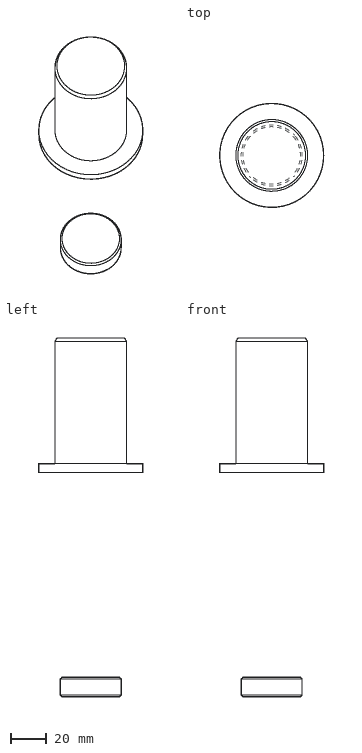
import cadquery as cq
import math

total_height = 200.0

pin_diameter = 40.0
pin_length = 75.0
pin_chamfer_height = 2.0
pin_chamfer_angle = 30.0
pin_chamfer_inset = pin_chamfer_height * math.tan(math.radians(pin_chamfer_angle))
flange_diameter = 58.0
flange_thickness = 5.0

disc_diameter = 34.0
disc_thickness = 11.0
disc_chamfer = 1.0


def make_flanged_pin():
    """Pin standing on a round flange, with a chamfered free end."""
    flange = cq.Workplane("XY").circle(flange_diameter / 2).extrude(flange_thickness)
    shank = (
        cq.Workplane("XY")
        .circle(pin_diameter / 2)
        .extrude(pin_length)
        .faces(">Z")
        .chamfer(pin_chamfer_height, pin_chamfer_inset)
    )
    pin_base_z = total_height - pin_length
    return flange.union(shank).translate((0, 0, pin_base_z))


def make_disc():
    """Flat disc with both rims chamfered."""
    return (
        cq.Workplane("XY")
        .circle(disc_diameter / 2)
        .extrude(disc_thickness)
        .faces("<Z or >Z")
        .chamfer(disc_chamfer)
    )


flanged_pin = make_flanged_pin()
disc = make_disc()

result = cq.Compound.makeCompound([flanged_pin.solids().val(), disc.solids().val()])